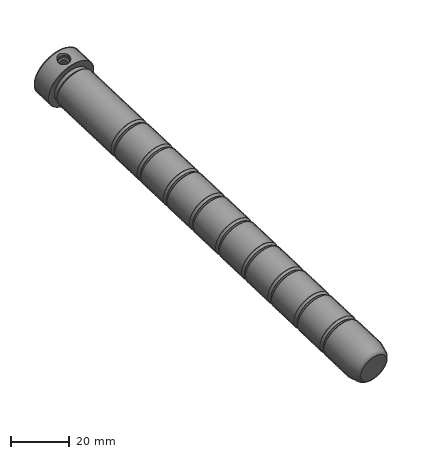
import cadquery as cq
import math

total_length = 170.0
head_diameter = 20.0
head_length = 8.0
head_chamfer = 0.3
shank_diameter = 16.0

relief_depth = 0.5
relief_length = 2.0

groove_count = 9
first_groove_x = 40.0
last_groove_x = 152.0
groove_width = 2.0
groove_depth = 0.5

taper_length = 3.5
taper_angle = 15.0
corner_length = 1.4
tip_diameter = 11.5

bore_diameter = 2.9
axial_mouth_diameter = 5.1
axial_countersink_angle = 60.0
radial_hole_x = 4.0
radial_bore_overrun = 1.7
radial_mouth_diameter = 5.0
counterbore_diameter = 4.0
counterbore_depth = 2.0
mouth_chamfer_depth = 0.8
drill_point_angle = 118.0

head_radius = head_diameter / 2
shank_radius = shank_diameter / 2
bore_radius = bore_diameter / 2
groove_pitch = (last_groove_x - first_groove_x) / (groove_count - 1)


def cone_depth(radius_change, included_angle):
    """Axial length over which a cone of the given full angle changes radius."""
    return radius_change / math.tan(math.radians(included_angle / 2))


def pin_body():
    """Head, relief, shank and nose, revolved about X."""
    relief_radius = shank_radius - relief_depth
    shank_start = head_length + relief_length
    corner_start = total_length - corner_length
    taper_start = corner_start - taper_length
    corner_radius = shank_radius - taper_length * math.tan(math.radians(taper_angle))
    return (
        cq.Workplane("XZ")
        .lineTo(0, head_radius - head_chamfer)
        .lineTo(head_chamfer, head_radius)
        .lineTo(head_length, head_radius)
        .lineTo(head_length, relief_radius)
        .lineTo(shank_start - relief_depth, relief_radius)
        .lineTo(shank_start, shank_radius)
        .lineTo(taper_start, shank_radius)
        .lineTo(corner_start, corner_radius)
        .tangentArcPoint((total_length, tip_diameter / 2), relative=False)
        .lineTo(total_length, 0)
        .close()
        .revolve(360, (0, 0, 0), (1, 0, 0))
    )


def groove_ring(center_x):
    """Ring with a V-shaped section that cuts one groove into the shank."""
    overshoot = 2.0
    half_width = overshoot * groove_width / 2
    floor_radius = shank_radius - groove_depth
    outer_radius = floor_radius + overshoot * groove_depth
    return (
        cq.Workplane("XZ")
        .moveTo(center_x, floor_radius)
        .lineTo(center_x - half_width, outer_radius)
        .lineTo(center_x + half_width, outer_radius)
        .close()
        .revolve(360, (0, 0, 0), (1, 0, 0))
    )


def axial_hole():
    """Countersunk bore in the head face that ends inside the radial bore."""
    mouth_radius = axial_mouth_diameter / 2
    countersink_depth = cone_depth(mouth_radius - bore_radius, axial_countersink_angle)
    return (
        cq.Workplane("XZ")
        .lineTo(0, mouth_radius)
        .lineTo(countersink_depth, bore_radius)
        .lineTo(radial_hole_x, bore_radius)
        .lineTo(radial_hole_x, 0)
        .close()
        .revolve(360, (0, 0, 0), (1, 0, 0))
    )


def radial_hole():
    """Chamfered counterbore in the head rim with a bore to just past the axis."""
    counterbore_radius = counterbore_diameter / 2
    counterbore_floor = head_radius - counterbore_depth
    step_end = counterbore_floor - cone_depth(counterbore_radius - bore_radius, drill_point_angle)
    point_length = cone_depth(bore_radius, drill_point_angle)
    return (
        cq.Workplane("XZ")
        .moveTo(0, head_radius)
        .lineTo(radial_mouth_diameter / 2, head_radius)
        .lineTo(counterbore_radius, head_radius - mouth_chamfer_depth)
        .lineTo(counterbore_radius, counterbore_floor)
        .lineTo(bore_radius, step_end)
        .lineTo(bore_radius, -radial_bore_overrun)
        .lineTo(0, -radial_bore_overrun - point_length)
        .close()
        .revolve(360, (0, 0, 0), (0, 1, 0))
        .translate((radial_hole_x, 0, 0))
    )


result = pin_body()
for index in range(groove_count):
    result = result.cut(groove_ring(first_groove_x + index * groove_pitch))
result = result.cut(axial_hole()).cut(radial_hole())